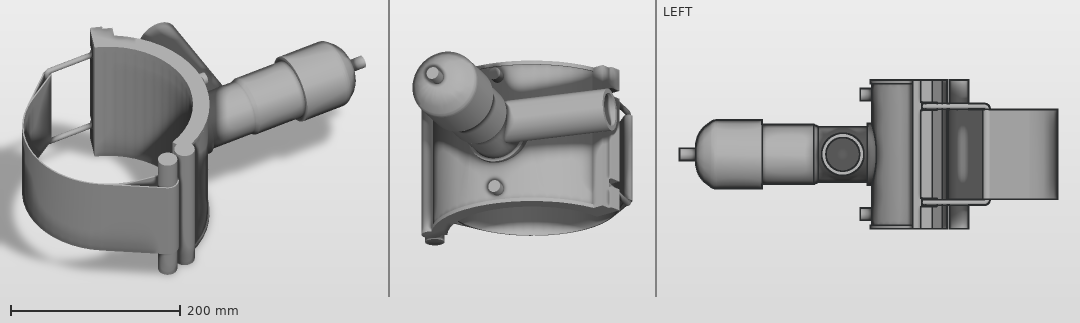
import cadquery as cq
import math

BORE_RADIUS = 100.0

SADDLE_HEIGHT = 176.0
RING_RADIUS = 118.0
LIP_RADIUS = 120.0
LIP_THICKNESS = 4.5
END_ANGLE = 20.0
KNOB_RADIUS = 12.0
KNOB_DISTANCE = 119.0

CATCH_OUTER = 134.5
CATCH_STEP = 130.5
CATCH_STEP_LENGTH = 14.8
CATCH_LENGTH = 26.5

BOSS_RADIUS = 7.38
BOSS_TOP = 131.5
BOSS_OFFSET = 70.5

FLANGE_RADIUS = 36.5
FLANGE_TOP = 123.0
NECK_RADIUS = 32.85
NECK_TOP = 181.0
BARREL_RADIUS = 35.5
BARREL_BOTTOM = 186.5
CAP_RADIUS = 40.5
CAP_BOTTOM = 247.0
CAP_EDGE = 301.0
DOME_RADIUS = 38.5
DOME_BOTTOM = 307.5
DOME_SHOULDER = (26.0, 321.0)
DOME_TOP = 325.5
STEM_RADIUS = 7.38
STEM_TOP = 345.0

OUTLET_RADIUS = 25.0
OUTLET_BORE_RADIUS = 19.9
OUTLET_HEIGHT = 152.0
OUTLET_END = -153.0

STRAP_WIDTH = 106.5
STRAP_THICKNESS = 2.0
STRAP_RADIUS = BORE_RADIUS + STRAP_THICKNESS
PIN_RADIUS = 11.4
PIN_CENTER = (117.0, 14.8)
WIRE_RADIUS = 3.35
WIRE_CENTER = (-114.0, -18.8)
WIRE_BEND = 3.5
WIRE_SPACING = STRAP_WIDTH + 2 * WIRE_BEND
WIRE_TOP = 58.5
SLOT_RADIUS = 5.0
SLOT_DISTANCE = 121.5

COS_END = math.cos(math.radians(END_ANGLE))
SIN_END = math.sin(math.radians(END_ANGLE))


def upright(radius, height, center=(0, 0)):
    """Cylinder along Z, centred on the XY plane."""
    return cq.Workplane("XY").center(*center).circle(radius).extrude(height / 2, both=True)


def catch_point(radial, along):
    """Point on the catch block from its radial place and its distance from the end face."""
    return (-radial * COS_END + along * SIN_END, radial * SIN_END + along * COS_END)


def make_ring():
    """Lipped arch above the two tilted end faces."""
    ring = upright(RING_RADIUS, SADDLE_HEIGHT)
    for side in (-1, 1):
        lip_middle = side * (SADDLE_HEIGHT - LIP_THICKNESS) / 2
        ring = ring.union(upright(LIP_RADIUS, LIP_THICKNESS).translate((0, 0, lip_middle)))
    reach = 2 * LIP_RADIUS
    sector = (
        cq.Workplane("XY")
        .polyline([
            (0, 0),
            (reach * COS_END, reach * SIN_END),
            (reach * COS_END, reach),
            (-reach * COS_END, reach),
            (-reach * COS_END, reach * SIN_END),
        ])
        .close()
        .extrude(SADDLE_HEIGHT / 2, both=True)
    )
    return ring.intersect(sector)


def make_catch():
    """Stepped block that the wire bail hooks on."""
    corners = [
        (BORE_RADIUS, 0),
        (CATCH_OUTER, 0),
        (CATCH_OUTER, CATCH_STEP_LENGTH),
        (CATCH_STEP, CATCH_STEP_LENGTH),
        (CATCH_STEP, CATCH_LENGTH),
        (BORE_RADIUS, CATCH_LENGTH),
    ]
    outline = [catch_point(radial, along) for radial, along in corners]
    return cq.Workplane("XY").polyline(outline).close().extrude(SADDLE_HEIGHT / 2, both=True)


def make_slot(z):
    """Round-ended slot, open outward, from the catch end face up to its step."""
    end_face = cq.Plane(
        origin=(*catch_point(SLOT_DISTANCE, 0), z),
        xDir=(-COS_END, SIN_END, 0),
        normal=(SIN_END, COS_END, 0),
    )
    length = 2 * (CATCH_OUTER - SLOT_DISTANCE)
    round_end = cq.Workplane(end_face).circle(SLOT_RADIUS).extrude(CATCH_STEP_LENGTH)
    channel = (
        cq.Workplane(end_face)
        .center(length / 2, 0)
        .rect(length, 2 * SLOT_RADIUS)
        .extrude(CATCH_STEP_LENGTH)
    )
    return round_end.union(channel)


def make_fitting():
    """Turned valve body with its cap, dome and stem."""
    return (
        cq.Workplane("XY")
        .moveTo(0, 0)
        .lineTo(FLANGE_RADIUS, 0)
        .lineTo(FLANGE_RADIUS, FLANGE_TOP)
        .lineTo(NECK_RADIUS, FLANGE_TOP)
        .lineTo(NECK_RADIUS, NECK_TOP)
        .lineTo(BARREL_RADIUS, BARREL_BOTTOM)
        .lineTo(BARREL_RADIUS, CAP_BOTTOM)
        .lineTo(CAP_RADIUS, CAP_BOTTOM)
        .lineTo(CAP_RADIUS, CAP_EDGE)
        .tangentArcPoint((DOME_RADIUS, DOME_BOTTOM), relative=False)
        .spline([DOME_SHOULDER, (0, DOME_TOP)], includeCurrent=True)
        .close()
        .revolve(360, (0, 0, 0), (0, 1, 0))
    )


def along_y(radius, bottom, top, z=0):
    """Cylinder along Y above the bore axis."""
    return cq.Workplane("XZ", origin=(0, bottom, z)).circle(radius).extrude(bottom - top)


def along_outlet(radius, inner_x):
    """Cylinder along X from the outlet end to the given place."""
    start = (OUTLET_END, OUTLET_HEIGHT, 0)
    return cq.Workplane("YZ", origin=start).circle(radius).extrude(inner_x - OUTLET_END)


def make_saddle():
    """Saddle with hinge knob, catch, valve fitting and side outlet."""
    knob_center = (KNOB_DISTANCE * COS_END, KNOB_DISTANCE * SIN_END)
    saddle = make_ring().union(make_catch()).union(upright(KNOB_RADIUS, SADDLE_HEIGHT, knob_center))
    saddle = saddle.union(make_fitting()).union(along_y(STEM_RADIUS, CAP_EDGE, STEM_TOP))
    saddle = saddle.union(along_outlet(OUTLET_RADIUS, 0))
    for side in (-1, 1):
        saddle = saddle.union(along_y(BOSS_RADIUS, BORE_RADIUS, BOSS_TOP, side * BOSS_OFFSET))
        saddle = saddle.cut(make_slot(side * WIRE_SPACING / 2))
    saddle = saddle.cut(along_outlet(OUTLET_BORE_RADIUS, -NECK_RADIUS))
    return saddle.cut(upright(BORE_RADIUS, SADDLE_HEIGHT))


def tangent_points(ring_radius, center, eye_radius, side, crossing):
    """Ends of the line that touches the ring circle and an eye circle.

    side is 1 for an eye at the +X end and -1 at the -X end. A crossing line
    passes between the two circles; any other line runs outside both.
    """
    signed_radius = -eye_radius if crossing else eye_radius
    distance = math.hypot(*center)
    direction = math.atan2(center[1], center[0])
    turn = math.acos((ring_radius - signed_radius) / distance)
    angle = direction - side * turn
    normal = (math.cos(angle), math.sin(angle))
    on_ring = (ring_radius * normal[0], ring_radius * normal[1])
    on_eye = (center[0] + signed_radius * normal[0], center[1] + signed_radius * normal[1])
    return on_ring, on_eye


def meeting_point(first, second):
    """Intersection of two lines, each given by two points."""
    (ax, ay), (bx, by) = first
    (cx, cy), (dx, dy) = second
    ux, uy = bx - ax, by - ay
    vx, vy = dx - cx, dy - cy
    share = ((cx - ax) * vy - (cy - ay) * vx) / (ux * vy - uy * vx)
    return (ax + share * ux, ay + share * uy)


def far_point(center, radius, tip):
    """Point of an eye circle that is farthest from the given tip."""
    away = (center[0] - tip[0], center[1] - tip[1])
    scale = radius / math.hypot(*away)
    return (center[0] + scale * away[0], center[1] + scale * away[1])


def make_eye_opening(center, radius, side):
    """Teardrop opening between the two strap layers of an eye."""
    outer = tangent_points(BORE_RADIUS, center, radius, side, False)
    inner = tangent_points(STRAP_RADIUS, center, radius, side, True)
    tip = meeting_point(outer, inner)
    return (
        cq.Workplane("XY")
        .moveTo(*tip)
        .lineTo(*outer[1])
        .threePointArc(far_point(center, radius, tip), inner[1])
        .close()
        .extrude(STRAP_WIDTH / 2, both=True)
    )


def make_strap():
    """Thin strap under the bore, folded into an eye at each end."""
    wire_eye = WIRE_RADIUS + STRAP_THICKNESS
    pin_eye = PIN_RADIUS + STRAP_THICKNESS
    left_outer = tangent_points(STRAP_RADIUS, WIRE_CENTER, wire_eye, -1, False)
    left_inner = tangent_points(BORE_RADIUS, WIRE_CENTER, wire_eye, -1, True)
    right_outer = tangent_points(STRAP_RADIUS, PIN_CENTER, pin_eye, 1, False)
    right_inner = tangent_points(BORE_RADIUS, PIN_CENTER, pin_eye, 1, True)
    strap = (
        cq.Workplane("XY")
        .moveTo(*left_outer[0])
        .lineTo(*left_outer[1])
        .threePointArc(far_point(WIRE_CENTER, wire_eye, left_outer[0]), left_inner[1])
        .lineTo(*left_inner[0])
        .threePointArc((0, -BORE_RADIUS), right_inner[0])
        .lineTo(*right_inner[1])
        .threePointArc(far_point(PIN_CENTER, pin_eye, right_outer[0]), right_outer[1])
        .lineTo(*right_outer[0])
        .threePointArc((0, -STRAP_RADIUS), left_outer[0])
        .close()
        .extrude(STRAP_WIDTH / 2, both=True)
    )
    strap = strap.cut(make_eye_opening(WIRE_CENTER, WIRE_RADIUS, -1))
    return strap.cut(make_eye_opening(PIN_CENTER, PIN_RADIUS, 1))


def make_bail():
    """U-shaped wire: two legs along Y joined through the strap eye."""
    wire_x, wire_y = WIRE_CENTER
    leg_z = WIRE_SPACING / 2
    bend_y = wire_y + WIRE_BEND
    bend_z = leg_z - WIRE_BEND
    mid_bend = WIRE_BEND * math.sqrt(0.5)
    path = (
        cq.Workplane("YZ", origin=(wire_x, 0, 0))
        .moveTo(WIRE_TOP, leg_z)
        .lineTo(bend_y, leg_z)
        .threePointArc((bend_y - mid_bend, bend_z + mid_bend), (wire_y, bend_z))
        .lineTo(wire_y, -bend_z)
        .threePointArc((bend_y - mid_bend, -bend_z - mid_bend), (bend_y, -leg_z))
        .lineTo(WIRE_TOP, -leg_z)
    )
    start = cq.Workplane("XZ", origin=(wire_x, WIRE_TOP, leg_z))
    return start.circle(WIRE_RADIUS).sweep(path)


def make_strap_assembly(saddle):
    """Strap with its pin and bail; the bail legs end on the slot ceilings."""
    pin = upright(PIN_RADIUS, SADDLE_HEIGHT, PIN_CENTER)
    bail = make_bail().cut(saddle)
    return make_strap().union(pin).union(bail)


saddle = make_saddle()
strap = make_strap_assembly(saddle)
result = cq.Compound.makeCompound([saddle.val(), strap.val()])